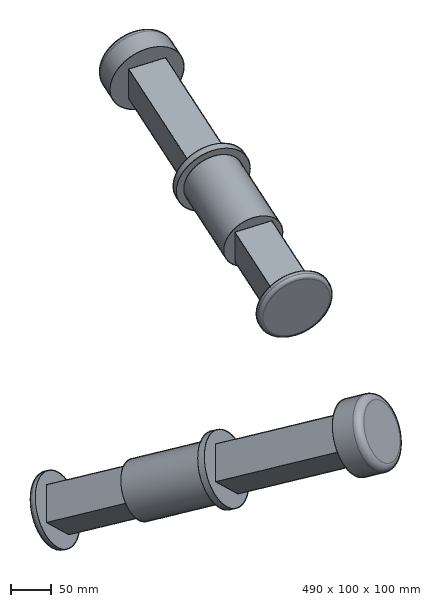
import cadquery as cq

total_length = 490.0
disc_diameter = 100.0

bar_side = 50.0

head_length = 40.0
head_round = 10.0

flange_start = 230.0
flange_thickness = 10.0
sleeve_diameter = 80.0
sleeve_end = 360.0

end_disc_thickness = 10.0
end_disc_round = 5.0


def cylinder(start, end, diameter):
    """Solid cylinder on the X axis between two X positions."""
    return cq.Workplane("YZ", origin=(start, 0, 0)).circle(diameter / 2).extrude(end - start)


head = cylinder(0, head_length, disc_diameter).faces("<X").edges().fillet(head_round)

bar = cq.Workplane("YZ").rect(bar_side, bar_side).extrude(total_length - end_disc_thickness)

flange = cylinder(flange_start, flange_start + flange_thickness, disc_diameter)
sleeve = cylinder(flange_start, sleeve_end, sleeve_diameter)

end_disc = cylinder(total_length - end_disc_thickness, total_length, disc_diameter)
end_disc = end_disc.faces(">X").edges().fillet(end_disc_round)

result = head.union(bar).union(flange).union(sleeve).union(end_disc)